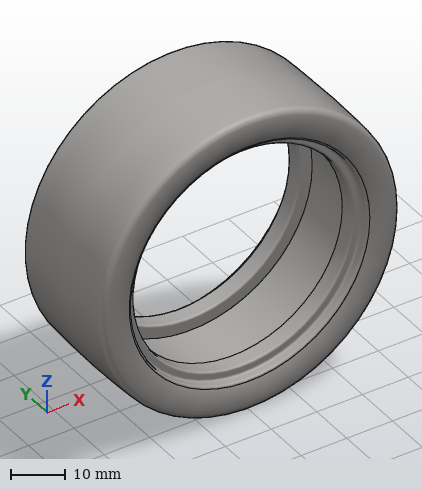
import cadquery as cq
import math


outer_diameter = 65.8
width = 27.1
crown_radius = outer_diameter / 2
half_width = width / 2

tread_edge_offset = 12.05
tread_drop = 0.3
tread_edge_radius = crown_radius - tread_drop

shoulder_radius = 31.25
sidewall_peak_radius = 29.6
sidewall_round = 7.8
bead_radius = 26.3

edge_round = 0.45
seat_radius = bead_radius - edge_round
seat_wall_offset = 10.8

lip_radius = 23.95
lip_inner_offset = 6.9

inner_bore_radius = 26.65


def arc_drop(arc_radius, distance):
    """Fall of an arc below its highest point at a distance from that point."""
    return arc_radius - math.sqrt(arc_radius**2 - distance**2)


def tread_radius(offset):
    """Radius of the crowned tread at an offset from the mid plane."""
    crown_round = (tread_edge_offset**2 + tread_drop**2) / (2 * tread_drop)
    return crown_radius - arc_drop(crown_round, offset)


def sidewall_offset(radius):
    """Offset of the bulging sidewall at a radius."""
    return half_width - arc_drop(sidewall_round, radius - sidewall_peak_radius)


def make_half_ring():
    """The half of the tyre on the +Y side of the mid plane."""
    tread_middle = tread_edge_offset / 2
    bead_offset = sidewall_offset(bead_radius)
    lip_round_radius = lip_radius + edge_round

    profile = cq.Workplane("XY").moveTo(inner_bore_radius, 0).lineTo(crown_radius, 0)

    profile = (
        profile
        .threePointArc((tread_radius(tread_middle), tread_middle), (tread_edge_radius, tread_edge_offset))
        .tangentArcPoint((shoulder_radius, sidewall_offset(shoulder_radius)), relative=False)
        .threePointArc((sidewall_peak_radius, half_width), (bead_radius, bead_offset))
    )

    profile = (
        profile
        .radiusArc((seat_radius, bead_offset - edge_round), -edge_round)
        .lineTo(seat_radius, seat_wall_offset + edge_round)
        .radiusArc((seat_radius - edge_round, seat_wall_offset), edge_round)
    )

    profile = (
        profile
        .lineTo(lip_round_radius, seat_wall_offset)
        .radiusArc((lip_radius, seat_wall_offset - edge_round), -edge_round)
        .lineTo(lip_radius, lip_inner_offset + edge_round)
        .radiusArc((lip_round_radius, lip_inner_offset), -edge_round)
        .lineTo(inner_bore_radius, lip_inner_offset)
        .close()
    )
    return profile.revolve(360, (0, 0, 0), (0, 1, 0))


half_ring = make_half_ring()
result = half_ring.union(half_ring.mirror("XZ"))